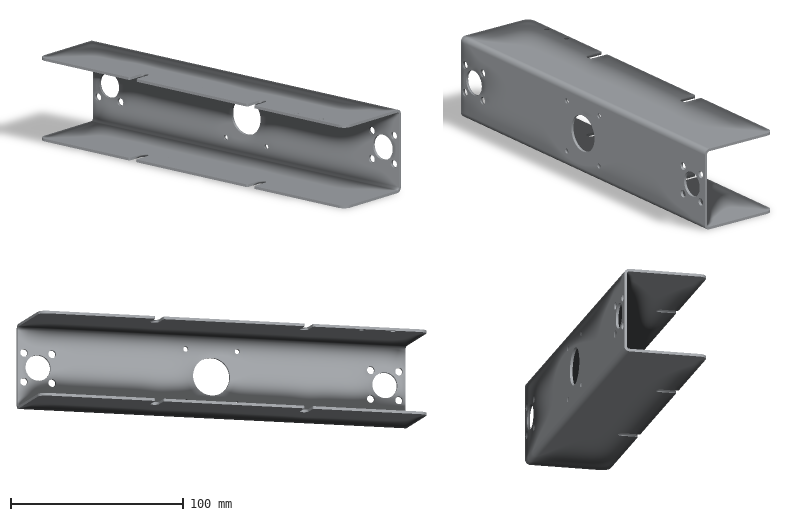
import cadquery as cq
import math

LENGTH = 234.0
DEPTH = 50.0
HEIGHT = 50.0
THICKNESS = 1.588
INNER_BEND_RADIUS = THICKNESS
OUTER_BEND_RADIUS = INNER_BEND_RADIUS + THICKNESS
FREE_CORNER_RADIUS = 5.0

CENTER_BORE = 22.2
CENTER_SCREW_HOLE = 3.0
CENTER_SCREW_PITCH = 31.0
END_BORE = 15.1
END_BORE_OFFSET = 104.5
END_SCREW_HOLE = 4.5
END_SCREW_CIRCLE = 24.0
END_SCREW_PITCH = END_SCREW_CIRCLE / math.sqrt(2)

SLOT_WIDTH = 5.0
SLOT_DEPTH = 12.5
SLOT_OFFSET = 45.0
SLOT_LEAD_IN_RADIUS = 1.0

FLANGE_HOLE = 3.0
FLANGE_HOLE_POSITIONS = (77.5, 96.5)
FLANGE_HOLE_EDGE_DISTANCE = 3.0

FREE_EDGE_Y = -DEPTH / 2
WEB_Y = DEPTH / 2


def channel():
    """Bent U-section, open toward -Y, with rounded free flange corners."""
    outer = (
        cq.Workplane("XY")
        .box(LENGTH, DEPTH, HEIGHT)
        .edges("|X and >Y")
        .fillet(OUTER_BEND_RADIUS)
    )
    inner = (
        cq.Workplane("XY")
        .box(LENGTH, DEPTH, HEIGHT - 2 * THICKNESS)
        .edges("|X and >Y")
        .fillet(INNER_BEND_RADIUS)
        .translate((0, -THICKNESS, 0))
    )
    return outer.cut(inner).edges("|Z and <Y").fillet(FREE_CORNER_RADIUS)


def web_holes(center_x, bore, screw_hole, pitch):
    """Cutter for a bore with four screw holes on a square around it."""
    web_plane = cq.Workplane("XZ", origin=(center_x, WEB_Y + THICKNESS, 0))
    cut_length = 3 * THICKNESS
    bore_cutter = web_plane.circle(bore / 2).extrude(cut_length)
    screw_cutters = (
        web_plane.rect(pitch, pitch, forConstruction=True)
        .vertices()
        .circle(screw_hole / 2)
        .extrude(cut_length)
    )
    return bore_cutter.union(screw_cutters)


def edge_slot(center_x):
    """Cutter for a round-ended slot with both corners of its mouth rounded."""
    half_width = SLOT_WIDTH / 2
    mouth_half_width = half_width + SLOT_LEAD_IN_RADIUS
    tip_y = FREE_EDGE_Y + SLOT_DEPTH
    round_start_y = tip_y - half_width
    lead_in_end_y = FREE_EDGE_Y + SLOT_LEAD_IN_RADIUS
    lead_in_reach = SLOT_LEAD_IN_RADIUS * math.sqrt(0.5)
    lead_in_middle_x = mouth_half_width - lead_in_reach
    lead_in_middle_y = lead_in_end_y - lead_in_reach
    return (
        cq.Workplane("XY", origin=(center_x, 0, -HEIGHT / 2))
        .moveTo(-mouth_half_width, FREE_EDGE_Y)
        .threePointArc((-lead_in_middle_x, lead_in_middle_y), (-half_width, lead_in_end_y))
        .lineTo(-half_width, round_start_y)
        .threePointArc((0, tip_y), (half_width, round_start_y))
        .lineTo(half_width, lead_in_end_y)
        .threePointArc((lead_in_middle_x, lead_in_middle_y), (mouth_half_width, FREE_EDGE_Y))
        .close()
        .extrude(HEIGHT)
    )


def upper_flange_holes():
    """Cutter for the small holes near the free edge of the upper flange."""
    hole_y = FREE_EDGE_Y + FLANGE_HOLE_EDGE_DISTANCE
    return (
        cq.Workplane("XY", origin=(0, 0, HEIGHT / 2 - THICKNESS))
        .pushPoints([(x, hole_y) for x in FLANGE_HOLE_POSITIONS])
        .circle(FLANGE_HOLE / 2)
        .extrude(THICKNESS)
    )


result = channel()
result = result.cut(web_holes(0, CENTER_BORE, CENTER_SCREW_HOLE, CENTER_SCREW_PITCH))
for side in (-1, 1):
    result = result.cut(web_holes(side * END_BORE_OFFSET, END_BORE, END_SCREW_HOLE, END_SCREW_PITCH))
    result = result.cut(edge_slot(side * SLOT_OFFSET))
result = result.cut(upper_flange_holes())